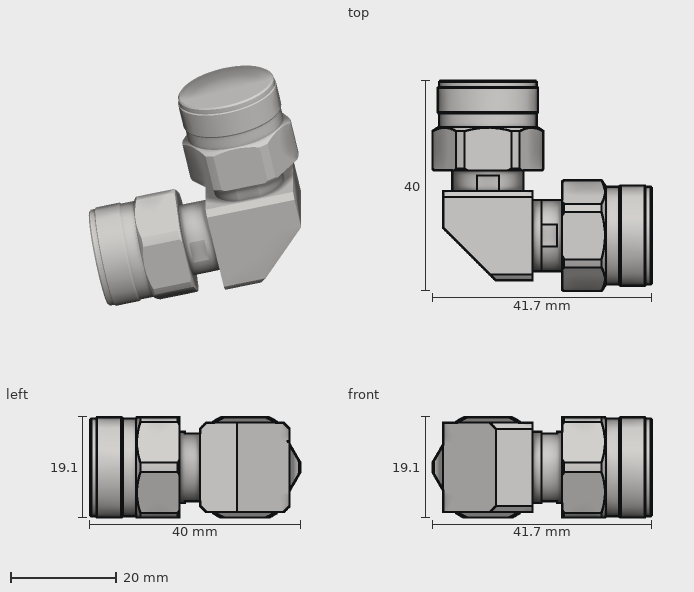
import cadquery as cq
import math


block_size = 17.0
block_half = block_size / 2
edge_chamfer = 1.15
bevel_start = 1.5
neck_radius = 6.8
collar_length = 1.7

flat_length = 2.9
hex_start = 3.88
hex_end = 12.18
groove_end = 14.68
ring_start = 15.0
ring_end = 19.55
lip_start = 19.72
connector_length = 20.95

neck_flat_distance = 6.45
hex_sides = 6
hex_across_flats = 19.1
hex_corner_radius = 10.55
hex_rear_chamfer_radial = 0.25
hex_rear_chamfer_axial = 0.38
hex_front_chamfer_axial = 0.85
sleeve_radius = 9.3
ring_radius = hex_across_flats / 2
lip_chamfer = 0.3


def make_elbow():
    """Corner block with a diagonal bevel, chamfered edges and a round collar on +X."""
    outline = [
        (-block_half, block_half),
        (-block_half, bevel_start),
        (bevel_start, -block_half),
        (block_half, -block_half),
        (block_half, block_half),
    ]
    prism = cq.Workplane("XY").polyline(outline).close().extrude(block_half, both=True)

    envelope = (
        cq.Workplane("YZ")
        .rect(block_size, block_size)
        .extrude(block_half, both=True)
        .edges("|X")
        .chamfer(edge_chamfer)
    )
    collar = cq.Workplane("YZ", origin=(block_half, 0, 0)).circle(neck_radius).extrude(collar_length)
    return prism.intersect(envelope).union(collar)


def make_neck():
    """Round neck with two opposite wrench flats next to the mating face."""
    neck = cq.Workplane("YZ").circle(neck_radius).extrude(hex_start)
    flat_depth = neck_radius - neck_flat_distance
    for side in (1, -1):
        flat_cutter = cq.Workplane("XY").box(
            flat_length, 2 * neck_radius, flat_depth, centered=(False, True, True)
        )
        neck = neck.cut(flat_cutter.translate((0, 0, side * (neck_flat_distance + flat_depth / 2))))
    return neck


def make_hex():
    """Hexagon with flats at +Z and -Z, its corners rounded and chamfered at both ends."""
    corner_diameter = hex_across_flats / math.cos(math.pi / hex_sides)
    hexagon = (
        cq.Workplane("YZ", origin=(hex_start, 0, 0))
        .polygon(hex_sides, corner_diameter)
        .extrude(hex_end - hex_start)
    )
    turned_profile = [
        (hex_start, 0),
        (hex_start, hex_corner_radius - hex_rear_chamfer_radial),
        (hex_start + hex_rear_chamfer_axial, hex_corner_radius),
        (hex_end - hex_front_chamfer_axial, hex_corner_radius),
        (hex_end, sleeve_radius),
        (hex_end, 0),
    ]
    return hexagon.intersect(revolve_about_x(turned_profile))


def make_sleeve():
    """Round sleeve in front of the hexagon, with a raised ring and a chamfered lip."""
    return revolve_about_x([
        (hex_end, 0),
        (hex_end, sleeve_radius),
        (groove_end, sleeve_radius),
        (ring_start, ring_radius),
        (ring_end, ring_radius),
        (lip_start, sleeve_radius),
        (connector_length - lip_chamfer, sleeve_radius),
        (connector_length, sleeve_radius - lip_chamfer),
        (connector_length, 0),
    ])


def revolve_about_x(profile):
    """Solid of revolution about the X axis from (axial, radial) points."""
    return cq.Workplane("XY").polyline(profile).close().revolve(360, (0, 0, 0), (1, 0, 0))


def make_connector(direction_angle, mating_distance):
    """One connector, turned about Z and seated at a distance from the crossing of the axes."""
    connector = make_neck().union(make_hex()).union(make_sleeve())
    return connector.translate((mating_distance, 0, 0)).rotate((0, 0, 0), (0, 0, 1), direction_angle)


connector_seats = [
    (0, block_half + collar_length),
    (90, block_half),
]

elbow = make_elbow()
connectors = [make_connector(angle, distance) for angle, distance in connector_seats]

result = cq.Compound.makeCompound([elbow.val(), *[connector.val() for connector in connectors]])